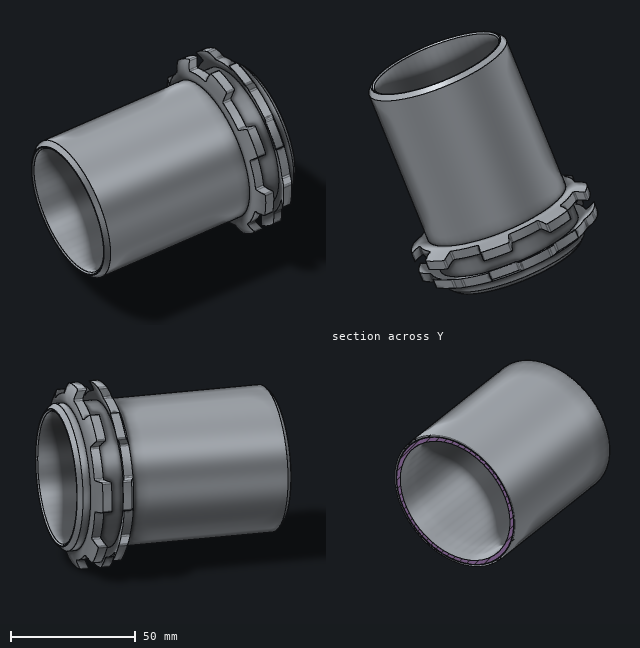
import cadquery as cq
import math

PIPE_LENGTH = 90.0
PIPE_DIAMETER = 59.6
BORE_DIAMETER = 53.6
OUTER_CHAMFER = 1.9
BORE_CHAMFER = 0.6

SEAT_DIAMETER = 57.8
WASHER_THICKNESS = 3.8
WASHER_BACK_SETBACK = 5.0
WASHER_PAIR_WIDTH = 17.6
DISH_RADIUS = 16.2

RIM_RADIUS = 33.7
TIP_DIAMETER = 75.7
TAB_COUNT = 8
TAB_TURN = -2.8
TAB_TAPER = 3.5
TAB_RIM_WIDTH = 13.0
TAB_FILLET = 0.7

pipe_radius = PIPE_DIAMETER / 2
tip_radius = TIP_DIAMETER / 2
seat_radius = SEAT_DIAMETER / 2
back_washer_y = PIPE_LENGTH - WASHER_BACK_SETBACK
front_washer_y = back_washer_y - WASHER_PAIR_WIDTH


def dish_offset(radius):
    """Axial drop of the dished face at a given distance from the axis."""
    run = radius - seat_radius
    return DISH_RADIUS - math.sqrt(DISH_RADIUS**2 - run**2)


def washer_ring(face_y, inward):
    """Dished ring without tabs; inward is the Y direction in which it is dished."""
    mid_radius = (seat_radius + tip_radius) / 2

    def face_point(radius, depth):
        return (radius, face_y + inward * (dish_offset(radius) + depth))

    return (
        cq.Workplane("XY")
        .moveTo(*face_point(seat_radius, 0))
        .threePointArc(face_point(mid_radius, 0), face_point(tip_radius, 0))
        .lineTo(*face_point(tip_radius, WASHER_THICKNESS))
        .threePointArc(
            face_point(mid_radius, WASHER_THICKNESS),
            face_point(seat_radius, WASHER_THICKNESS),
        )
        .close()
        .revolve(360, (0, 0, 0), (0, 1, 0))
    )


def make_pipe():
    """Tube with chamfered ends and one groove for each washer."""
    bore_radius = BORE_DIAMETER / 2
    face_outer = pipe_radius - OUTER_CHAMFER
    face_inner = bore_radius + BORE_CHAMFER
    tube = (
        cq.Workplane("XY")
        .moveTo(face_inner, 0)
        .lineTo(face_outer, 0)
        .lineTo(pipe_radius, OUTER_CHAMFER)
        .lineTo(pipe_radius, PIPE_LENGTH - OUTER_CHAMFER)
        .lineTo(face_outer, PIPE_LENGTH)
        .lineTo(face_inner, PIPE_LENGTH)
        .lineTo(bore_radius, PIPE_LENGTH - BORE_CHAMFER)
        .lineTo(bore_radius, BORE_CHAMFER)
        .close()
        .revolve(360, (0, 0, 0), (0, 1, 0))
    )
    front_groove = washer_ring(front_washer_y, 1)
    back_groove = washer_ring(back_washer_y, -1)
    return tube.cut(front_groove).cut(back_groove)


def tab_outline(y_start, y_end):
    """Solid with the toothed washer outline, reaching from y_start to y_end."""
    depth = y_start - y_end
    lean = math.tan(math.radians(TAB_TAPER))
    half_rim = TAB_RIM_WIDTH / 2
    half_tip = half_rim - (tip_radius - RIM_RADIUS) * lean
    tip_corner = math.sqrt(tip_radius**2 - half_tip**2)
    half_root = half_rim + (RIM_RADIUS - seat_radius) * lean

    outline = cq.Workplane("XZ", origin=(0, y_start, 0)).circle(RIM_RADIUS).extrude(depth)
    tab = (
        cq.Workplane("XZ", origin=(0, y_start, 0))
        .moveTo(seat_radius, -half_root)
        .lineTo(tip_corner, -half_tip)
        .threePointArc((tip_radius, 0), (tip_corner, half_tip))
        .lineTo(seat_radius, half_root)
        .close()
        .extrude(depth)
    )
    for index in range(TAB_COUNT):
        angle = -(TAB_TURN + index * 360 / TAB_COUNT)
        outline = outline.union(tab.rotate((0, 0, 0), (0, 1, 0), angle))
    return outline.edges("|Y").fillet(TAB_FILLET)


def make_washer(face_y, inward):
    """Dished washer trimmed to the toothed outline."""
    full_depth = dish_offset(tip_radius) + WASHER_THICKNESS
    y_limits = sorted((face_y, face_y + inward * full_depth))
    return washer_ring(face_y, inward).intersect(tab_outline(*y_limits))


pipe = make_pipe()

washers = [
    make_washer(face_y, inward)
    for face_y, inward in ((front_washer_y, 1), (back_washer_y, -1))
]

result = cq.Compound.makeCompound([pipe.val(), *[washer.val() for washer in washers]])